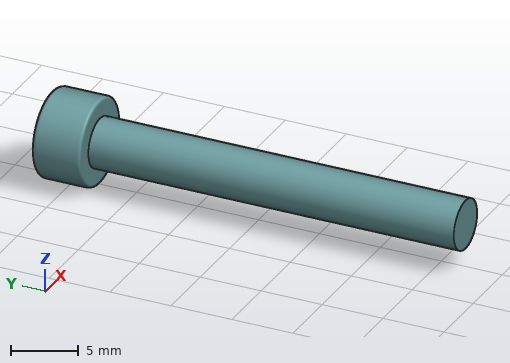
import cadquery as cq

total_length = 34.0
head_diameter = 7.0
shank_diameter = 4.0
head_height = shank_diameter
shank_length = total_length - head_height
top_edge_radius = 0.45
underside_edge_radius = 0.25


def cylinder_along_y(diameter, start_y, length):
    return cq.Workplane("XZ", origin=(0, start_y, 0)).circle(diameter / 2).extrude(-length)


head = cylinder_along_y(head_diameter, 0, head_height)
head = head.faces(">Y").edges().fillet(top_edge_radius)
head = head.faces("<Y").edges().fillet(underside_edge_radius)

shank = cylinder_along_y(shank_diameter, -shank_length, shank_length)

result = head.union(shank)